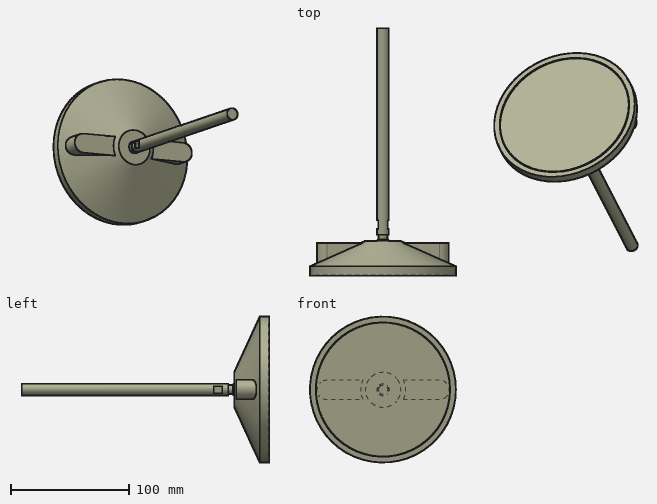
import cadquery as cq
import math

total_length = 210.0

plate_radius = 124.0 / 2
rim_height = 8.2
cone_top_radius = 29.8 / 2
cone_top = 29.8

pad_radius = 113.5 / 2
pad_seat_radius = 114.0 / 2
groove_depth = 1.0

bar_length = 112.0
bar_width = 16.4
bar_top = 28.0

ball_radius = 12.5 / 2
ball_center = 26.2
neck_radius = 7.8 / 2
spindle_radius = 10.0 / 2
spindle_start = 34.9

flat_start = 40.0
flat_length = 7.1
across_flats = 8.2


def make_plate():
    profile = (
        cq.Workplane("XY")
        .lineTo(plate_radius, 0)
        .lineTo(plate_radius, rim_height)
        .lineTo(cone_top_radius, cone_top)
        .lineTo(0, cone_top)
        .close()
    )
    return profile.revolve(360, (0, 0, 0), (0, 1, 0))


def make_pad_groove():
    sole = cq.Workplane("XZ")
    return sole.circle(pad_seat_radius).circle(pad_radius).extrude(-groove_depth)


def make_crossbar():
    base = cq.Workplane("XZ", origin=(0, rim_height, 0))
    return base.slot2D(bar_length, bar_width).extrude(rim_height - bar_top)


def make_spindle():
    neck_start = ball_center + math.sqrt(ball_radius**2 - neck_radius**2)
    profile = (
        cq.Workplane("XY")
        .moveTo(0, ball_center)
        .lineTo(0, total_length)
        .lineTo(spindle_radius, total_length)
        .lineTo(spindle_radius, spindle_start)
        .lineTo(neck_radius, spindle_start)
        .lineTo(neck_radius, neck_start)
        .radiusArc((ball_radius, ball_center), ball_radius)
        .close()
    )
    return profile.revolve(360, (0, 0, 0), (0, 1, 0))


def make_flat_cuts():
    sleeve = cq.Workplane("XY").box(2 * spindle_radius, flat_length, 2 * spindle_radius)
    core = cq.Workplane("XY").box(across_flats, flat_length, 2 * spindle_radius)
    return sleeve.cut(core).translate((0, flat_start + flat_length / 2, 0))


foot = make_plate().union(make_crossbar()).cut(make_pad_groove())
spindle = make_spindle().cut(make_flat_cuts())
result = foot.union(spindle)